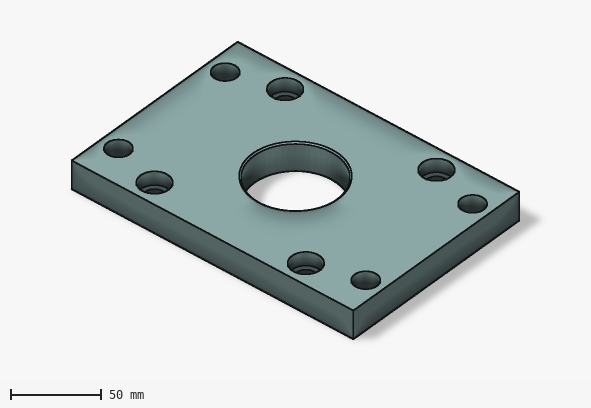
import cadquery as cq

length = 205.0
width = 140.0
thickness = 20.0

bore_diameter = 60.0
bore_chamfer = 1.0

mount_hole_diameter = 16.0
mount_spacing_x = 180.0
mount_spacing_y = 90.0

screw_hole_diameter = 13.0
screw_head_diameter = 20.0
screw_head_depth = 9.6
screw_spacing = 110.0

plate = cq.Workplane("XY").box(length, width, thickness, centered=(True, True, False))

bored_plate = plate.faces(">Z").workplane().hole(bore_diameter)
bored_plate = bored_plate.faces(">Z").edges("%CIRCLE").chamfer(bore_chamfer)

drilled_plate = (
    bored_plate.faces(">Z")
    .workplane(origin=(0, 0, thickness))
    .rarray(mount_spacing_x, mount_spacing_y, 2, 2)
    .hole(mount_hole_diameter)
)

result = (
    drilled_plate.faces(">Z")
    .workplane(origin=(0, 0, thickness))
    .rarray(screw_spacing, screw_spacing, 2, 2)
    .cboreHole(screw_hole_diameter, screw_head_diameter, screw_head_depth)
)